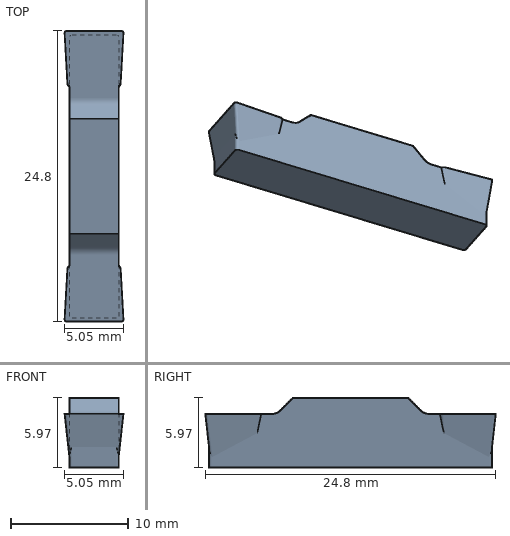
import cadquery as cq
import math


total_length = 24.84
cutting_width = 5.05
total_height = 5.97

shank_width = 4.23
shank_length = 24.2
shank_corner_radius = 0.24
seat_height = 4.6

ridge_length = 9.84
ramp_angle = 45.0
ramp_root_radius = 1.0

head_corner_radius = 0.2
head_depth = 4.3
head_length = 4.79
end_relief_angle = 6.4
back_taper_angle = 3.2
side_relief_angle = 6.0
shoulder_run = 1.4
shoulder_undercut = 0.208
shoulder_overlap = 0.6

half_length = total_length / 2
half_shank = shank_width / 2
back_taper = math.tan(math.radians(back_taper_angle))
side_relief = math.tan(math.radians(side_relief_angle))
end_relief = math.tan(math.radians(end_relief_angle))

rounding_loss = head_corner_radius * (back_taper + 1 / math.cos(math.radians(back_taper_angle)) - 1)
half_sharp_width = cutting_width / 2 + rounding_loss


def make_shank():
    """Constant-width bar with rounded upright corners and a raised middle."""
    bar = (
        cq.Workplane("XY")
        .rect(shank_width, shank_length)
        .extrude(seat_height)
        .edges("|Z")
        .fillet(shank_corner_radius)
    )
    ridge_top_y = ridge_length / 2
    ridge_foot_y = ridge_top_y + (total_height - seat_height) / math.tan(math.radians(ramp_angle))
    ridge = (
        cq.Workplane("YZ")
        .moveTo(-ridge_foot_y, seat_height)
        .lineTo(-ridge_top_y, total_height)
        .lineTo(ridge_top_y, total_height)
        .lineTo(ridge_foot_y, seat_height)
        .close()
        .extrude(half_shank, both=True)
    )
    shank = bar.union(ridge).clean()
    for foot_y in (-ridge_foot_y, ridge_foot_y):
        root_edge = cq.selectors.NearestToPointSelector((0, foot_y, seat_height))
        shank = shank.edges(root_edge).fillet(ramp_root_radius)
    return shank


def head_outline(depth):
    """Sharp-cornered outline of the +Y head at a given depth below the rake face."""
    end_setback = end_relief * depth
    flank_start_x = half_sharp_width - side_relief * depth
    end_x = flank_start_x - back_taper * end_setback

    shank_setback = head_length - shoulder_undercut * depth
    shoulder_setback = shank_setback - shoulder_run * (flank_start_x - half_shank)
    rear_setback = shoulder_setback / (1 - shoulder_run * back_taper)
    rear_x = flank_start_x - back_taper * rear_setback

    inner_x = half_shank - shoulder_overlap
    inner_setback = shank_setback + shoulder_run * shoulder_overlap

    right_side = [
        (end_x, half_length - end_setback),
        (rear_x, half_length - rear_setback),
        (inner_x, half_length - inner_setback),
    ]
    left_side = [(-x, y) for x, y in reversed(right_side)]
    return right_side + left_side


def make_head():
    """Cutting head at the +Y end, narrowing with depth, with rounded upright edges."""
    block = (
        cq.Workplane("XY", origin=(0, 0, seat_height))
        .polyline(head_outline(0))
        .close()
        .workplane(offset=-head_depth)
        .polyline(head_outline(head_depth))
        .close()
        .loft(ruled=True)
    )
    exposed_zone = cq.selectors.BoxSelector(
        (-half_sharp_width, half_length - head_length, 0),
        (half_sharp_width, half_length, seat_height),
    )
    return block.edges("not #Z").edges(exposed_zone).fillet(head_corner_radius)


head = make_head()
result = make_shank().union(head).union(head.mirror("XZ")).clean()